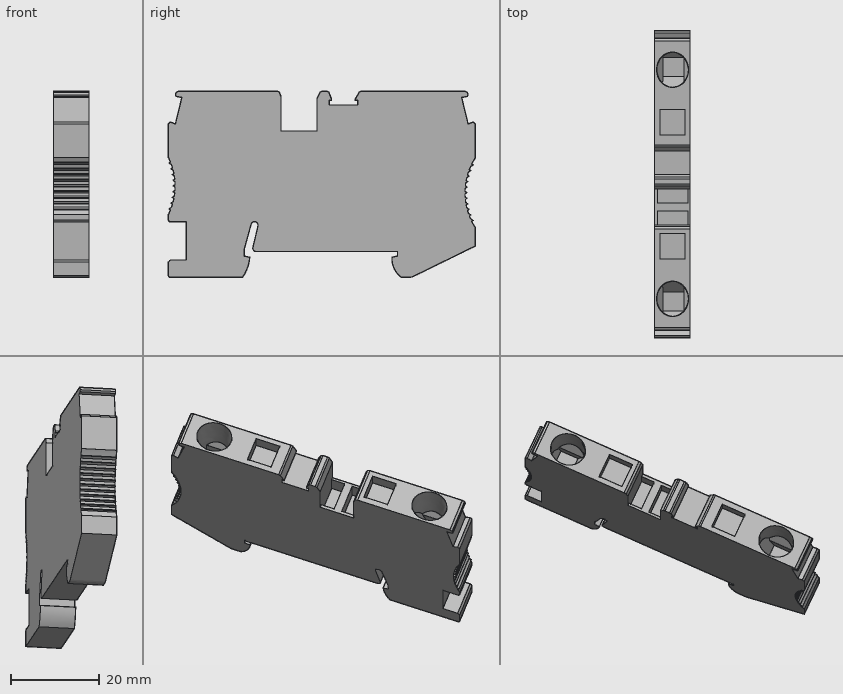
import cadquery as cq
import math


WIDTH = 8.1
LENGTH = 69.5
HEIGHT = 42.2
HALF_LENGTH = LENGTH / 2

SHELF_TOP_Z = 35.25
EDGE_CHAMFER = 0.5
SHELF_ROOT = (33.15, 34.75)
LIP_ROOT = (31.7, 40.7)
LIP_UNDERSIDE = (32.95, 40.95)
LIP_TIP = (33.15, 41.35)
LIP_SHOULDER = (32.95, 41.9)
LIP_TOP_Y = 32.4

BEVEL_Z = 42.0

MARKER_FLOOR_Z = 39.05
MARKER_HOOK_Z = 40.1
MARKER_NOSE_Z = 40.4
MARKER_FLOOR_Y = (8.1, 1.75)
MARKER_MOUTH_Y = (7.6, 2.2)
MARKER_BEVEL_Y = (8.5, 1.6)
MARKER_RIM_Y = (8.9, 1.2)

SLOT_Y = (-1.1, -9.2)
SLOT_BEVEL_Y = (-0.35, -9.6)
SLOT_RIM_Y = (0.1, -10.15)
SLOT_SLOPE_Z = (40.45, 40.9)
SLOT_FLOOR_Z = 33.15
BRIDGE_POCKET_X = 6.9
BRIDGE_POCKET_Y = 3.1
BRIDGE_POCKET_DEPTH = 4.2

RAIL_SEAT_Z = 5.85
HOOK_Z = 4.85
HOOK_TIP_Z = 4.6
SPRING_FOOT_TOE_Y = -17.9
SPRING_HOOK_TIP_Y = -16.25
SPRING_HOOK_ROOT_Y = -17.5
SPRING_FOOT_BULGE = (-16.8, 2.1)
FIXED_HOOK_ROOT_Y = 17.1
FIXED_HOOK_TIP_Y = 15.85
FIXED_FOOT_BULGE = (16.5, 1.8)
FIXED_FOOT_TOE_Y = 18.0
FOOT_SLOPE_BASE_Y = 19.95
FOOT_SLOPE_START = (20.6, 0.15)
FOOT_SLOPE_TOP_Z = 7.1

SLIT_BEND_Z = 6.4
SLIT_OUTER_TOP = (-16.0, 11.95)
SLIT_CROWN = (-15.1, 12.6)
SLIT_INNER_TOP = (-14.45, 11.7)
SEAT_END_Y = -15.65
SEAT_CORNER_RADIUS = 0.8

RELEASE_NOTCH_Y = -30.7
RELEASE_NOTCH_Z = (3.95, 12.6)
UNDER_CHAMFER_Y = 0.3
UNDER_CHAMFER_Z = 0.4

GRIP_RADIUS = 14.6
RIDGE_BASE = 0.55
RIDGE_HEIGHT = 0.4
BACK_GRIP_Z = 19.2
BACK_GRIP_CHORD = 15.7
BACK_RIDGES = 11
BACK_RIDGE_SPAN = 12.6
FRONT_GRIP_Z = 20.7
FRONT_GRIP_CHORD = 13.0
FRONT_RIDGES = 9
FRONT_RIDGE_SPAN = 10.35

WIRE_ENTRY_X = 7.2
WIRE_ENTRY_Y = 8.0
WIRE_FLOOR_DEPTH = 12.5
WELL_X = 4.7
WELL_Y = 4.25
WELL_SIDE_WALL = 2.4
SIDE_RAMP_ANGLE = 50.0
END_RAMP_ANGLE = 65.5
MOUTH_Y = 25.9
WELL_CENTRE_Y = 26.55
WELL_CENTRE_X = 0.3

SOCKET_SIZE = 5.7
SOCKET_DEPTH = 3.2
SOCKET_Y = 14.05

OPENINGS_X = 0.1


def upper_end(side):
    """Points of one upper end, from the wall up to the top face; side is +1 or -1."""
    points = [
        (HALF_LENGTH, SHELF_TOP_Z - EDGE_CHAMFER),
        (HALF_LENGTH - EDGE_CHAMFER, SHELF_TOP_Z),
        SHELF_ROOT,
        LIP_ROOT,
        LIP_UNDERSIDE,
        LIP_TIP,
        LIP_SHOULDER,
        (LIP_TOP_Y, HEIGHT),
    ]
    return [(side * y, z) for y, z in points]


def top_middle():
    """Points of the marker slot, the post and the bridge slot, from +Y to -Y."""
    return [
        (MARKER_RIM_Y[0], HEIGHT),
        (MARKER_BEVEL_Y[0], BEVEL_Z),
        (MARKER_MOUTH_Y[0], MARKER_NOSE_Z),
        (MARKER_MOUTH_Y[0], MARKER_HOOK_Z),
        (MARKER_FLOOR_Y[0], MARKER_HOOK_Z),
        (MARKER_FLOOR_Y[0], MARKER_FLOOR_Z),
        (MARKER_FLOOR_Y[1], MARKER_FLOOR_Z),
        (MARKER_FLOOR_Y[1], MARKER_HOOK_Z),
        (MARKER_MOUTH_Y[1], MARKER_HOOK_Z),
        (MARKER_MOUTH_Y[1], MARKER_NOSE_Z),
        (MARKER_BEVEL_Y[1], BEVEL_Z),
        (MARKER_RIM_Y[1], HEIGHT),
        (SLOT_RIM_Y[0], HEIGHT),
        (SLOT_BEVEL_Y[0], BEVEL_Z),
        (SLOT_Y[0], SLOT_SLOPE_Z[0]),
        (SLOT_Y[0], SLOT_FLOOR_Z),
        (SLOT_Y[1], SLOT_FLOOR_Z),
        (SLOT_Y[1], SLOT_SLOPE_Z[1]),
        (SLOT_BEVEL_Y[1], BEVEL_Z),
        (SLOT_RIM_Y[1], HEIGHT),
    ]


def make_body():
    """Extrude the whole side profile, grips excepted."""
    corner_inset = SEAT_CORNER_RADIUS * (1 - math.sqrt(0.5))
    notch_bottom, notch_top = RELEASE_NOTCH_Z
    top_edge = upper_end(1) + top_middle() + upper_end(-1)[::-1]
    profile = cq.Workplane("YZ", origin=(-WIDTH / 2, 0, 0)).moveTo(*top_edge[0])
    for point in top_edge[1:]:
        profile = profile.lineTo(*point)
    profile = (
        profile
        .lineTo(-HALF_LENGTH, notch_top + UNDER_CHAMFER_Z)
        .lineTo(-HALF_LENGTH + UNDER_CHAMFER_Y, notch_top)
        .lineTo(RELEASE_NOTCH_Y, notch_top)
        .lineTo(RELEASE_NOTCH_Y, notch_bottom)
        .lineTo(-HALF_LENGTH + EDGE_CHAMFER, notch_bottom)
        .lineTo(-HALF_LENGTH, notch_bottom - EDGE_CHAMFER)
        .lineTo(-HALF_LENGTH, UNDER_CHAMFER_Z)
        .lineTo(-HALF_LENGTH + UNDER_CHAMFER_Y, 0)
        .lineTo(SPRING_FOOT_TOE_Y, 0)
        .threePointArc(SPRING_FOOT_BULGE, (SPRING_HOOK_TIP_Y, HOOK_TIP_Z))
        .lineTo(SPRING_HOOK_ROOT_Y, HOOK_Z)
        .lineTo(SPRING_HOOK_ROOT_Y, SLIT_BEND_Z)
        .lineTo(*SLIT_OUTER_TOP)
        .threePointArc(SLIT_CROWN, SLIT_INNER_TOP)
        .lineTo(SEAT_END_Y, RAIL_SEAT_Z + SEAT_CORNER_RADIUS)
        .threePointArc(
            (SEAT_END_Y + corner_inset, RAIL_SEAT_Z + corner_inset),
            (SEAT_END_Y + SEAT_CORNER_RADIUS, RAIL_SEAT_Z),
        )
        .lineTo(FIXED_HOOK_ROOT_Y, RAIL_SEAT_Z)
        .lineTo(FIXED_HOOK_ROOT_Y, HOOK_Z)
        .lineTo(FIXED_HOOK_TIP_Y, HOOK_TIP_Z)
        .threePointArc(FIXED_FOOT_BULGE, (FIXED_FOOT_TOE_Y, 0))
        .lineTo(FOOT_SLOPE_BASE_Y, 0)
        .lineTo(*FOOT_SLOPE_START)
        .lineTo(HALF_LENGTH, FOOT_SLOPE_TOP_Z)
        .close()
    )
    return profile.extrude(WIDTH)


def add_grip(body, side, centre_z, chord, ridges, ridge_span):
    """Cut the arc of one finger grip and set its ridges along it."""
    axis_y = HALF_LENGTH + math.sqrt(GRIP_RADIUS**2 - (chord / 2) ** 2)
    pitch = ridge_span / (ridges - 1)
    plane = cq.Workplane("YZ", origin=(-WIDTH / 2, 0, 0))
    body = body.cut(plane.center(side * axis_y, centre_z).circle(GRIP_RADIUS).extrude(WIDTH))
    for index in range(ridges):
        offset = index * pitch - ridge_span / 2
        surface_y = axis_y - math.sqrt(GRIP_RADIUS**2 - offset**2)
        root_y = surface_y - RIDGE_HEIGHT
        tip_y = surface_y + RIDGE_HEIGHT
        z = centre_z + offset
        ridge = plane.polyline(
            [(side * root_y, z - RIDGE_BASE), (side * tip_y, z), (side * root_y, z + RIDGE_BASE)]
        ).close()
        body = body.union(ridge.extrude(WIDTH))
    return body


def ramped_prism(plane, floor_width, ramp_start_z, ramp_angle):
    """Long prism, centred on the plane, that widens from ramp_start_z up to the top face."""
    half_floor = floor_width / 2
    half_top = half_floor + (HEIGHT - ramp_start_z) / math.tan(math.radians(ramp_angle))
    outline = [
        (-half_floor, ramp_start_z),
        (half_floor, ramp_start_z),
        (half_top, HEIGHT),
        (-half_top, HEIGHT),
    ]
    return plane.polyline(outline).close().extrude(WIRE_ENTRY_Y, both=True)


def wire_entry(mouth_y, well_y):
    """Cutter for one wire entry: an oval bore narrowed by side ramps and end ramps."""
    floor_z = HEIGHT - WIRE_FLOOR_DEPTH
    bore = (
        cq.Workplane("XY", origin=(OPENINGS_X, mouth_y, floor_z))
        .ellipse(WIRE_ENTRY_X / 2, WIRE_ENTRY_Y / 2)
        .extrude(WIRE_FLOOR_DEPTH)
    )
    across = cq.Workplane("XZ", origin=(WELL_CENTRE_X, well_y, 0))
    along = cq.Workplane("YZ", origin=(WELL_CENTRE_X, well_y, 0))
    upright_sides = (
        cq.Workplane("XY", origin=(WELL_CENTRE_X, well_y, floor_z))
        .rect(WELL_X, 2 * WIRE_ENTRY_Y)
        .extrude(WELL_SIDE_WALL)
    )
    sides = ramped_prism(across, WELL_X, floor_z + WELL_SIDE_WALL, SIDE_RAMP_ANGLE)
    ends = ramped_prism(along, WELL_Y, floor_z, END_RAMP_ANGLE)
    return bore.intersect(sides.union(upright_sides)).intersect(ends)


def box_pocket(y, top_z, size_x, size_y, depth):
    """Cutter for a rectangular pocket sunk from top_z."""
    return (
        cq.Workplane("XY", origin=(OPENINGS_X, y, top_z - depth))
        .rect(size_x, size_y)
        .extrude(depth)
    )


result = make_body()
result = add_grip(result, 1, BACK_GRIP_Z, BACK_GRIP_CHORD, BACK_RIDGES, BACK_RIDGE_SPAN)
result = add_grip(result, -1, FRONT_GRIP_Z, FRONT_GRIP_CHORD, FRONT_RIDGES, FRONT_RIDGE_SPAN)

for side in (1, -1):
    result = result.cut(wire_entry(side * MOUTH_Y, side * WELL_CENTRE_Y))
    result = result.cut(box_pocket(side * SOCKET_Y, HEIGHT, SOCKET_SIZE, SOCKET_SIZE, SOCKET_DEPTH))

for pocket_y in (SLOT_Y[0] - BRIDGE_POCKET_Y / 2, SLOT_Y[1] + BRIDGE_POCKET_Y / 2):
    pocket = box_pocket(
        pocket_y, SLOT_FLOOR_Z, BRIDGE_POCKET_X, BRIDGE_POCKET_Y, BRIDGE_POCKET_DEPTH
    )
    result = result.cut(pocket)